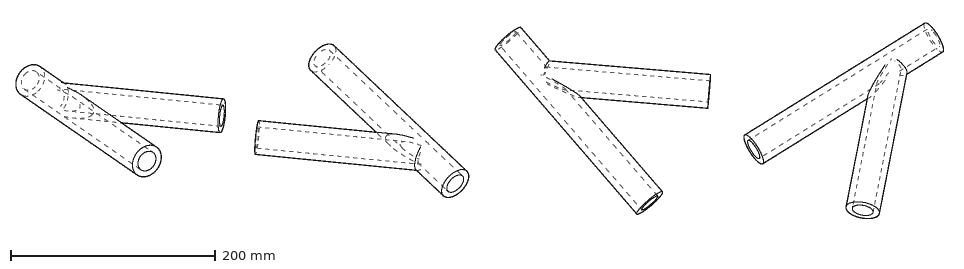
import cadquery as cq

main_length = 216.0
outer_diameter = 33.5
bore_diameter = 20.7
branch_length = 165.2
branch_angle = 45.0
branch_position = 50.7


def main_rod(diameter):
    """Round rod along the main axis, starting at X = 0."""
    return cq.Workplane("YZ").circle(diameter / 2).extrude(main_length)


def branch_rod(diameter):
    """Round rod leaving the main axis, inclined toward +Y."""
    rod = cq.Workplane("YZ").circle(diameter / 2).extrude(branch_length)
    inclined = rod.rotate((0, 0, 0), (0, 0, 1), branch_angle)
    return inclined.translate((branch_position, 0, 0))


body = main_rod(outer_diameter).union(branch_rod(outer_diameter))
result = body.cut(main_rod(bore_diameter)).cut(branch_rod(bore_diameter))